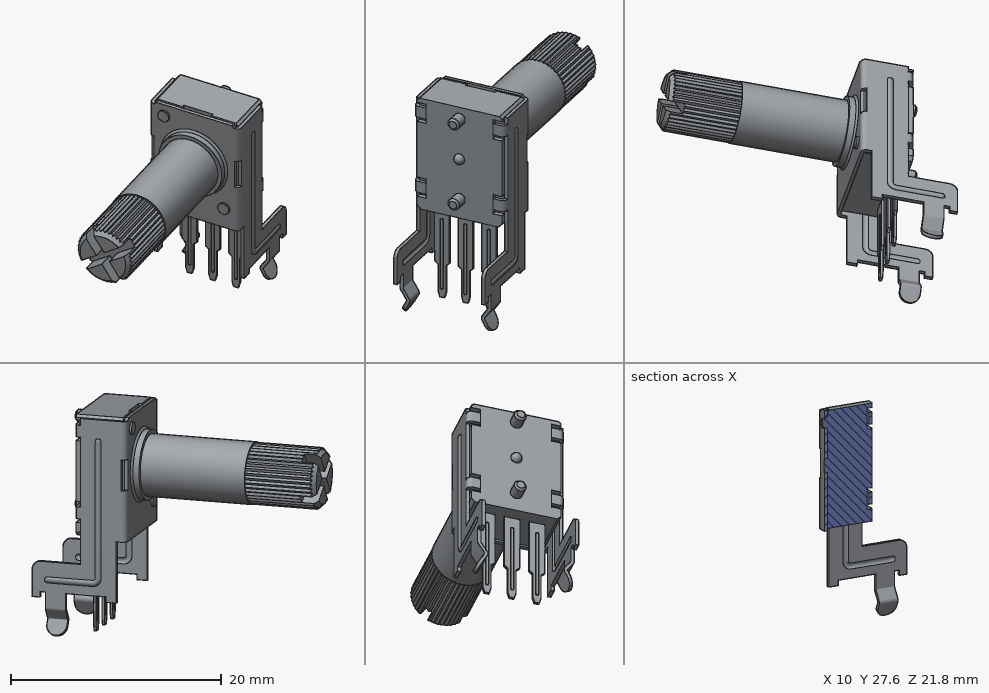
import cadquery as cq
import math


sheet = 0.35
bracket_half_width = 4.85
bend_radius = 0.5
inner_bend_radius = bend_radius - sheet
flat_half_width = bracket_half_width - bend_radius
front_plate_bottom = -6.53
side_top = 5.26
side_rear = 4.58
window_height = 3.0
corner_chamfer = 0.25

leg_front = 1.0
foot_rear = 9.4
foot_top = -9.02
foot_fillet = 0.8
foot_bottom = -12.53
notch_top = -12.0
front_toe_length = 1.02
rear_toe_length = 0.77

tab_width = 2.0
tab_y = 7.08
tab_root_z = -11.5
tab_bend = (-4.675, -13.6)
tab_kink = (-3.93, -14.72)
tab_end = (-4.72, -16.2)
tab_end_radius = 0.98
tab_inner_bend_radius = 0.1
tab_outer_bend_radius = tab_inner_bend_radius + sheet

bead_width = 0.6
bead_height = 0.15
bead_radius = ((bead_width / 2) ** 2 + bead_height**2) / (2 * bead_height)
bead_turn_radius = 0.6
bead_y = 2.8
bead_foot_z = -10.78
bead_top_z = 3.1
bead_rear_y = 7.85

clinch_height = 1.18
clinch_recess_height = 2.05
clinch_z = 4.0
clinch_reach = 0.95

housing_half_width = bracket_half_width - sheet
housing_rear = 5.15
housing_top = 5.52
housing_bottom = -6.32
top_front_chamfer = 0.2
bottom_chamfer = 0.37
top_slot_width = 3.1
top_slot_rear = 0.83
top_slot_depth = 0.6

peg_diameter = 1.2
peg_z = 4.28
front_peg_x = 3.24
front_peg_height = 0.2
rear_peg_height = 1.42
rear_peg_chamfer = 0.2
dome_radius = 0.55
bushing_diameter = 6.8
bushing_length = 0.8
bushing_base_diameter = 7.25
bushing_taper_length = 0.2

shaft_diameter = 6.0
shaft_tip = -18.2
shaft_seat = 3.0
knurl_length = 7.0
knurl_teeth = 40
knurl_crest_radius = 2.95
knurl_root_radius = 2.78
tip_chamfer = 0.5
slot_width = 1.0
slot_depth = 1.6
slot_angle = 35

terminal_pitch = 2.5
terminal_front = 3.65
terminal_sheet = 0.25
terminal_embed = 1.0
terminal_width = 1.55
terminal_pin_width = 0.82
shoulder_top = -12.2
shoulder_bottom = -12.5
taper_top = -15.36
terminal_tip = -15.95
terminal_tip_width = 0.48
terminal_bead_width = 0.3
terminal_bead_height = 0.08
terminal_bead_top = -7.5
terminal_bead_bottom = -15.05


def block(x_range, y_range, z_range):
    """Axis-aligned box between the given limits."""
    size = [high - low for low, high in (x_range, y_range, z_range)]
    corner = (x_range[0], y_range[0], z_range[0])
    return cq.Workplane("XY").box(*size, centered=False).translate(corner)


def rod(radius, y_start, y_end, x=0, z=0):
    """Cylinder along Y from y_start back to the larger y_end."""
    return cq.Workplane("XZ", origin=(x, y_end, z)).circle(radius).extrude(y_end - y_start)


def both_sides(left_half):
    """The left-hand shape together with its mirror image across x = 0."""
    return left_half.union(left_half.mirror("YZ"))


def bracket_front():
    """Front plate with the rounded bends that lead into the sides."""
    z_range = (front_plate_bottom, side_top)
    outer = (
        block((-bracket_half_width, bracket_half_width), (0, side_rear), z_range)
        .edges("|Z and <Y")
        .fillet(bend_radius)
    )
    inner = (
        block((-housing_half_width, housing_half_width), (sheet, side_rear), z_range)
        .edges("|Z and <Y")
        .fillet(inner_bend_radius)
    )
    behind_bends = block((-bracket_half_width, bracket_half_width), (bend_radius, side_rear), z_range)
    top_strip = (
        block((-flat_half_width, flat_half_width), (0, sheet), (0, housing_top))
        .edges("|Y and >Z")
        .chamfer(housing_top - side_top, corner_chamfer)
    )
    return outer.cut(inner).cut(behind_bends).union(top_strip)


def leg_and_foot():
    """Left side plate below the front plate, with the rearward foot and its toes."""
    outline = [
        (leg_front, front_plate_bottom),
        (side_rear, front_plate_bottom),
        (side_rear, foot_top),
        (foot_rear, foot_top),
        (foot_rear, foot_bottom),
        (foot_rear - rear_toe_length, foot_bottom),
        (foot_rear - rear_toe_length, notch_top),
        (leg_front + front_toe_length, notch_top),
        (leg_front + front_toe_length, foot_bottom),
        (leg_front, foot_bottom),
    ]
    plate = (
        cq.Workplane("YZ", origin=(-bracket_half_width, 0, 0)).polyline(outline).close().extrude(sheet)
    )
    foot_corner = cq.selectors.NearestToPointSelector((-bracket_half_width, foot_rear, foot_top))
    return plate.edges(foot_corner).fillet(foot_fillet)


def strip_outline(path, thickness):
    """Closed outline of a strip of constant thickness with mitred bends along a path."""
    angles = [math.atan2(b[1] - a[1], b[0] - a[0]) for a, b in zip(path, path[1:])]
    starts = [angles[0]] + angles
    ends = angles + [angles[-1]]
    left = []
    right = []
    for (x, z), before, after in zip(path, starts, ends):
        normal = (before + after + math.pi) / 2
        reach = thickness / 2 / math.cos((after - before) / 2)
        left.append((x + reach * math.cos(normal), z + reach * math.sin(normal)))
        right.append((x - reach * math.cos(normal), z - reach * math.sin(normal)))
    return left + right[::-1]


def snap_tab():
    """Left snap-in tab: bent inward then outward, with a round lower end."""
    path = [(tab_bend[0], tab_root_z), tab_bend, tab_kink, tab_end]
    corners = strip_outline(path, sheet)
    strip = (
        cq.Workplane("XZ", origin=(0, tab_y + tab_width / 2, 0)).polyline(corners).close().extrude(tab_width)
    )
    left_bend, left_kink, right_kink, right_bend = corners[1], corners[2], corners[5], corners[6]
    rounds = [
        (right_bend, tab_outer_bend_radius),
        (left_bend, tab_inner_bend_radius),
        (left_kink, tab_outer_bend_radius),
        (right_kink, tab_inner_bend_radius),
    ]
    for (x, z), radius in rounds:
        bend_edge = cq.selectors.NearestToPointSelector((x, tab_y, z))
        strip = strip.edges(bend_edge).fillet(radius)
    for side_y in (tab_y - tab_width / 2, tab_y + tab_width / 2):
        end_corner = cq.selectors.NearestToPointSelector((tab_end[0], side_y, tab_end[1]))
        strip = strip.edges(end_corner).fillet(tab_end_radius)
    return strip


def bead_tool(x):
    """Round-ended rod that follows the L-shaped bead at the given x."""
    turn_y = bead_y + bead_turn_radius
    turn_z = bead_foot_z + bead_turn_radius
    upright = (
        cq.Workplane("XY", origin=(x, bead_y, turn_z)).circle(bead_radius).extrude(bead_top_z - turn_z)
    )
    turn = (
        cq.Workplane("XY", origin=(x, bead_y, turn_z))
        .circle(bead_radius)
        .revolve(90, (-1, bead_turn_radius, 0), (1, bead_turn_radius, 0))
    )
    level = rod(bead_radius, turn_y, bead_rear_y, x, bead_foot_z)
    top_end = cq.Workplane("XY").sphere(bead_radius).translate((x, bead_y, bead_top_z))
    rear_end = cq.Workplane("XY").sphere(bead_radius).translate((x, bead_rear_y, bead_foot_z))
    return upright.union(turn).union(level).union(top_end).union(rear_end)


def press_bead(side):
    """Raise the bead on the outer face of the left side and sink it into the inner face."""
    ridge_x = -bracket_half_width - bead_height + bead_radius
    sheet_band = block(
        (-bracket_half_width - bead_height, -housing_half_width - sheet / 2),
        (0, foot_rear),
        (foot_bottom, side_top),
    )
    ridge = bead_tool(ridge_x).intersect(sheet_band)
    return side.union(ridge).cut(bead_tool(ridge_x + sheet))


def clinch_tab(z):
    """Left clinch tab, folded from the side onto the rear of the housing."""
    z_range = (z - clinch_height / 2, z + clinch_height / 2)
    inner_end = clinch_reach - housing_half_width
    outer = (
        block((-bracket_half_width, inner_end), (side_rear - sheet, housing_rear), z_range)
        .edges("|Z and <X and >Y")
        .fillet(bend_radius)
    )
    inner = (
        block((-housing_half_width, 0), (0, housing_rear - sheet), z_range)
        .edges("|Z and <X and >Y")
        .fillet(inner_bend_radius)
    )
    return outer.cut(inner)


def left_side():
    """Left bracket side with its leg, bead, snap-in tab and clinch tabs."""
    flat = block(
        (-bracket_half_width, -housing_half_width), (bend_radius, side_rear), (front_plate_bottom, side_top)
    )
    side = press_bead(flat.union(leg_and_foot()))
    side = side.union(snap_tab())
    for z in (clinch_z, -clinch_z):
        side = side.union(clinch_tab(z))
    return side


def make_bracket():
    """Complete bracket: front plate with its openings and both sides."""
    bracket = bracket_front().union(both_sides(left_side()))
    window = block(
        (-bracket_half_width, -flat_half_width), (0, bend_radius), (-window_height / 2, window_height / 2)
    )
    bracket = bracket.cut(both_sides(window))
    bracket = bracket.cut(rod(bushing_base_diameter / 2, 0, sheet))
    for side_sign in (-1, 1):
        bracket = bracket.cut(rod(peg_diameter / 2, 0, sheet, side_sign * front_peg_x, -side_sign * peg_z))
    return bracket


def housing_body():
    """Moulded block with chamfered edges, top slot and clinch recesses."""
    body = block(
        (-housing_half_width, housing_half_width), (sheet, housing_rear), (housing_bottom, housing_top)
    )
    body = body.edges("|Z and <Y").chamfer(inner_bend_radius)
    body = body.edges("|Y and >Z").chamfer(housing_top - side_top, corner_chamfer)
    body = body.edges("|X and >Z and <Y").chamfer(top_front_chamfer)
    body = body.edges("|Y and <Z").chamfer(bottom_chamfer)
    slot = block(
        (-top_slot_width / 2, top_slot_width / 2),
        (sheet, top_slot_rear),
        (housing_top - top_slot_depth, housing_top),
    )
    body = body.cut(slot)
    for z in (clinch_z, -clinch_z):
        recess = block(
            (-housing_half_width, clinch_reach - housing_half_width),
            (housing_rear - bend_radius, housing_rear),
            (z - clinch_recess_height / 2, z + clinch_recess_height / 2),
        )
        body = body.cut(both_sides(recess))
    return body


def make_housing():
    """Housing with bushing, pegs, centre dome and the blind bore for the shaft."""
    housing = housing_body()
    housing = housing.union(rod(bushing_diameter / 2, -bushing_length, sheet))
    base = rod(bushing_base_diameter / 2, -bushing_taper_length, sheet)
    taper_width = (bushing_base_diameter - bushing_diameter) / 2
    housing = housing.union(base.faces("<Y").chamfer(bushing_taper_length, taper_width))
    for side_sign in (-1, 1):
        x = side_sign * front_peg_x
        z = -side_sign * peg_z
        front_peg = rod(peg_diameter / 2, -front_peg_height, sheet, x, z)
        rear_peg = rod(peg_diameter / 2, housing_rear, housing_rear + rear_peg_height, 0, z)
        rear_peg = rear_peg.faces(">Y").chamfer(rear_peg_chamfer)
        housing = housing.union(front_peg).union(rear_peg)
    dome = cq.Workplane("XY").sphere(dome_radius).translate((0, housing_rear, 0))
    housing = housing.union(dome)
    return housing.cut(rod(shaft_diameter / 2, -bushing_length, shaft_seat))


def make_shaft():
    """Plain shaft with a knurled, cross-slotted and chamfered end."""
    knurl_start = shaft_tip + knurl_length
    shaft = rod(shaft_diameter / 2, knurl_start, shaft_seat)
    crest_rod = rod(knurl_crest_radius, shaft_tip, knurl_start).faces("<Y").chamfer(tip_chamfer)
    half_pitch = math.pi / knurl_teeth
    star = []
    for i in range(2 * knurl_teeth):
        radius = knurl_crest_radius if i % 2 else knurl_root_radius
        star.append((radius * math.cos(i * half_pitch), radius * math.sin(i * half_pitch)))
    knurl = cq.Workplane("XZ", origin=(0, knurl_start, 0)).polyline(star).close().extrude(knurl_length)
    shaft = shaft.union(knurl.intersect(crest_rod))
    for angle in (slot_angle, slot_angle + 90):
        slot = block(
            (-shaft_diameter / 2, shaft_diameter / 2),
            (shaft_tip, shaft_tip + slot_depth),
            (-slot_width / 2, slot_width / 2),
        )
        shaft = shaft.cut(slot.rotate((0, 0, 0), (0, -1, 0), angle))
    return shaft


def make_terminal(x):
    """Flat pin with shoulders, tapered tip and a bead pressed toward the rear."""
    right_edge = [
        (terminal_width / 2, housing_bottom + terminal_embed),
        (terminal_width / 2, shoulder_top),
        (terminal_pin_width / 2, shoulder_bottom),
        (terminal_pin_width / 2, taper_top),
        (terminal_tip_width / 2, terminal_tip),
    ]
    left_edge = [(-half, z) for half, z in reversed(right_edge)]
    rear = terminal_front + terminal_sheet
    blade = (
        cq.Workplane("XZ", origin=(x, rear, 0))
        .polyline(right_edge + left_edge)
        .close()
        .extrude(terminal_sheet)
    )
    bead_length = terminal_bead_top - terminal_bead_bottom
    bead_centre_z = (terminal_bead_top + terminal_bead_bottom) / 2
    bead = (
        cq.Workplane("XZ", origin=(x, rear + terminal_bead_height, bead_centre_z))
        .slot2D(bead_length, terminal_bead_width, 90)
        .extrude(terminal_sheet)
    )
    groove = bead.translate((0, -terminal_sheet, 0))
    return blade.union(bead).cut(groove)


bracket = make_bracket()
terminals = [make_terminal(i * terminal_pitch) for i in (-1, 0, 1)]
housing = make_housing()
for terminal in terminals:
    housing = housing.cut(terminal)
shaft = make_shaft()

result = cq.Compound.makeCompound(
    [bracket.val(), housing.val(), shaft.val(), *[terminal.val() for terminal in terminals]]
)